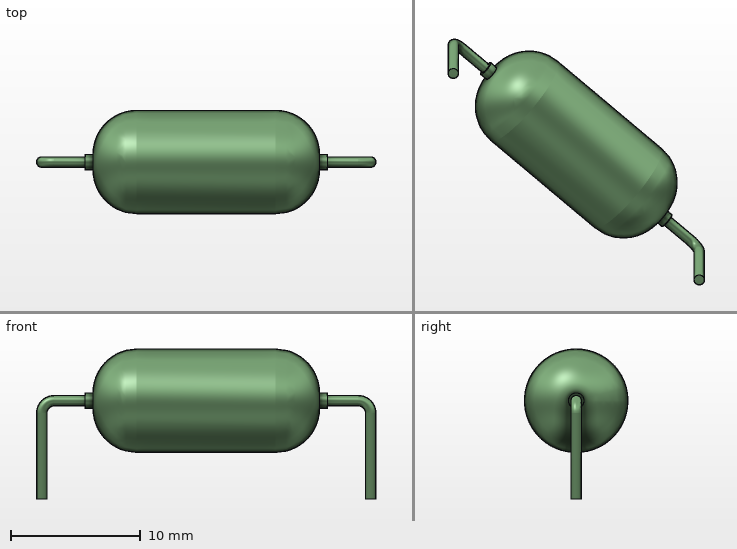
import cadquery as cq


body_length = 17.5
body_radius = 4.0

collar_radius = 0.6
collar_length = 0.6

end_round_radius = body_radius - collar_radius

wire_diameter = 0.81
lead_pitch = 25.4
lead_bend_radius = 0.96
lead_drop = 7.6

wire_radius = wire_diameter / 2
body_end_x = body_length / 2
collar_end_x = body_end_x + collar_length
lead_x = lead_pitch / 2


def make_body():
    """Cylinder along X with both end rims rounded over."""
    return (
        cq.Workplane("YZ", origin=(-body_end_x, 0, 0))
        .circle(body_radius)
        .extrude(body_length)
        .edges("%CIRCLE")
        .fillet(end_round_radius)
    )


def make_collar(side):
    """Short disc on the flat end of the body; side is -1 or +1 along X."""
    return (
        cq.Workplane("YZ", origin=(side * body_end_x, 0, 0))
        .circle(collar_radius)
        .extrude(side * collar_length)
    )


def make_lead(side):
    """Round wire running outward from the collar, then bent straight down."""
    bend_start_x = side * (lead_x - lead_bend_radius)
    centreline = (
        cq.Workplane("XZ")
        .moveTo(side * collar_end_x, 0)
        .lineTo(bend_start_x, 0)
        .tangentArcPoint((side * lead_x, -lead_bend_radius), relative=False)
        .lineTo(side * lead_x, -lead_drop)
    )
    return (
        cq.Workplane("YZ", origin=(side * collar_end_x, 0, 0))
        .circle(wire_radius)
        .sweep(centreline)
    )


body = make_body()
sides = (-1, 1)
collars = [make_collar(side).val() for side in sides]
leads = [make_lead(side).val() for side in sides]

result = cq.Compound.makeCompound([body.val(), *collars, *leads])